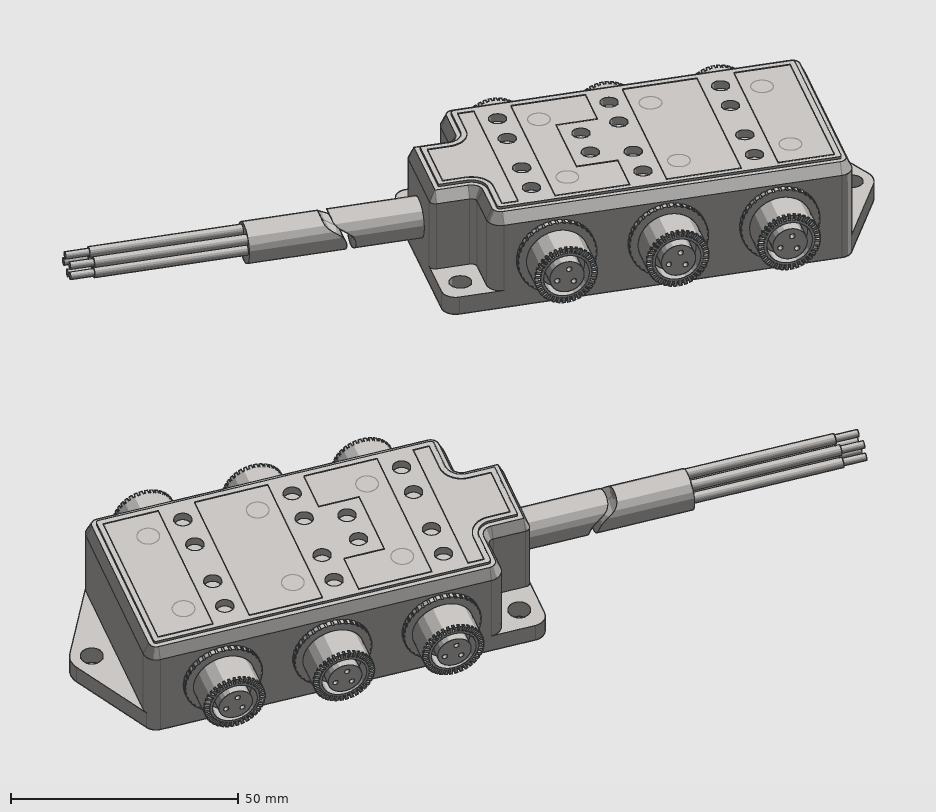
import cadquery as cq
import math

half_width = 22.4
body_length = 93.3
body_height = 25.0
neck_half_width = 10.2
notch_depth = 10.2
ear_height = 4.5
front_corner_radius = 3.2
rear_corner_radius = 3.0
least_radius = 0.05
neck_radius = 1.35

wall_height = 21.6
bevel_inset = 1.3
ledge_height = 24.4
plate_inset = 2.4
label_inset = 3.7
label_depth = 0.2

mount_hole_diameter = 5.0
front_hole_x = 16.6
front_hole_y = 5.0
rear_hole_y = 98.6
rear_ear_radius = 4.9

port_pitch = 25.4
first_port_y = 25.2
port_rows = 3
port_height = 12.0
first_strip_y = 21.8
strip_width = 8.4
lamp_diameter = 4.0
lamp_depth = 2.0
lamp_xs = (-14.3, -6.1, 6.1, 14.3)
power_lamp_x = 3.95
power_lamp_y = 38.0
power_strip_half_width = 8.6
power_strip_front_y = 33.6
dome_x = 12.0
dome_offset = 8.8
dome_diameter = 5.0
dome_rise = 0.18

flange_radius = 9.0
flange_reach = 23.7
sleeve_radius = 7.05
sleeve_reach = 31.3
insert_reach = 31.75
insert_radius = 3.9
socket_radius = 5.2
socket_depth = 4.0
knurl_count = 36
knurl_width = 0.5
knurl_depth = 0.8
knurl_inner_radius = 5.8
grip_depth = 0.2
pin_hole_radius = 0.6
pin_hole_depth = 4.0
pin_positions = ((-0.5, 1.9), (2.2, -0.7), (-1.6, -1.4))

cable_radius = 4.7
cable_height = 12.0
jacket_end_y = -39.8
insulation_end_y = -74.7
overall_length = 183.6
conductor_end_y = rear_hole_y + rear_ear_radius - overall_length
break_points = (
    (-20.6, cable_radius),
    (-20.0, 3.4),
    (-17.4, 1.4),
    (-16.0, 0.0),
    (-15.4, -2.0),
    (-15.5, -cable_radius),
)
break_gap = 2.1
insulation_radius = 1.2
conductor_radius = 0.85
wire_root = 1.0
wire_positions = ((-1.55, 2.5), (2.4, 2.3), (-2.95, 0.0), (0.3, -0.95), (2.6, -0.25))


def rounded_outline(corners, height):
    """Closed outline through (x, y, radius) corners, each rounded by an arc."""
    stretches = []
    for i, (x, y, radius) in enumerate(corners):
        before = cq.Vector(*corners[i - 1][:2])
        after = cq.Vector(*corners[(i + 1) % len(corners)][:2])
        corner = cq.Vector(x, y)
        to_before = (before - corner).normalized()
        to_after = (after - corner).normalized()
        half_angle = to_before.getAngle(to_after) / 2
        bisector = (to_before + to_after).normalized()
        setback = radius / math.tan(half_angle)
        middle = corner + bisector * (radius / math.sin(half_angle) - radius)
        stretches.append((corner + to_before * setback, middle, corner + to_after * setback))
    outline = cq.Workplane("XY").workplane(offset=height).moveTo(*stretches[0][0].toTuple()[:2])
    for i, (start, middle, end) in enumerate(stretches):
        if i > 0:
            outline = outline.lineTo(start.x, start.y)
        outline = outline.threePointArc((middle.x, middle.y), (end.x, end.y))
    return outline.close()


def block_outline(inset, height):
    """Plan of the block with its two front notches, moved inwards by inset."""
    outer_x = half_width - inset
    neck_x = neck_half_width - inset
    shoulder_y = notch_depth + inset
    neck_corner = max(neck_radius - inset, least_radius)
    front_corner = max(front_corner_radius - inset, least_radius)
    rear_corner = max(rear_corner_radius - inset, least_radius)
    right_side = [
        (neck_x, inset, neck_corner),
        (neck_x, shoulder_y, neck_radius + inset),
        (outer_x, shoulder_y, front_corner),
        (outer_x, body_length - inset, rear_corner),
    ]
    left_side = [(-x, y, radius) for x, y, radius in reversed(right_side)]
    return rounded_outline(right_side + left_side, height)


def lofted(lower, upper):
    """Solid between two outlines with matching edges."""
    return cq.Workplane(cq.Solid.makeLoft([lower.val(), upper.val()], True))


def block():
    walls = block_outline(0, 0).extrude(wall_height)
    slope = lofted(block_outline(0, wall_height), block_outline(bevel_inset, ledge_height))
    plate = block_outline(plate_inset, ledge_height).extrude(body_height - ledge_height)
    return walls.union(slope).union(plate)


def front_ears():
    """Low base that fills both notches out to square, rounded corners."""
    depth = 2 * notch_depth
    base = cq.Workplane("XY").box(2 * half_width, depth, ear_height, centered=(True, False, False))
    return base.faces("<Y").edges("|Z").fillet(front_corner_radius)


def rear_ear():
    """Triangular ear: straight sides tangent to the tip and to the block's rear corners."""
    corner_x = half_width - rear_corner_radius
    corner_y = body_length - rear_corner_radius
    rise = corner_y - rear_hole_y
    span = math.hypot(corner_x, rise)
    tilt = math.atan2(rise, corner_x) + math.acos((rear_ear_radius - rear_corner_radius) / span)
    normal_x = math.cos(tilt)
    normal_y = math.sin(tilt)
    tip_side = (rear_ear_radius * normal_x, rear_hole_y + rear_ear_radius * normal_y)
    corner_side = (corner_x + rear_corner_radius * normal_x, corner_y + rear_corner_radius * normal_y)
    return (
        cq.Workplane("XY")
        .moveTo(-corner_x, corner_y)
        .lineTo(-corner_side[0], corner_side[1])
        .lineTo(-tip_side[0], tip_side[1])
        .threePointArc((0, rear_hole_y + rear_ear_radius), tip_side)
        .lineTo(*corner_side)
        .lineTo(corner_x, corner_y)
        .close()
        .extrude(ear_height)
    )


def mounting_holes():
    centres = [(-front_hole_x, front_hole_y), (front_hole_x, front_hole_y), (0, rear_hole_y)]
    return cq.Workplane("XY").pushPoints(centres).circle(mount_hole_diameter / 2).extrude(ear_height)


def label_recesses():
    """Shallow label areas over the top plate, parted by the lamp strips."""
    floor = body_height - label_depth
    labels = block_outline(label_inset, floor).extrude(label_depth)
    strip_centres = [(0, first_strip_y + row * port_pitch) for row in range(port_rows)]
    strips = (
        cq.Workplane("XY")
        .workplane(offset=floor)
        .pushPoints(strip_centres)
        .rect(2 * half_width, strip_width)
        .extrude(label_depth)
    )
    power_strip_back_y = first_strip_y + port_pitch
    power_strip = cq.Workplane("XY", origin=(0, power_strip_front_y, floor)).box(
        2 * power_strip_half_width,
        power_strip_back_y - power_strip_front_y,
        label_depth,
        centered=(True, False, False),
    )
    return labels.cut(strips).cut(power_strip)


def lamp_holes():
    centres = [(-power_lamp_x, power_lamp_y), (power_lamp_x, power_lamp_y)]
    for row in range(port_rows):
        centres += [(x, first_strip_y + row * port_pitch) for x in lamp_xs]
    return (
        cq.Workplane("XY")
        .workplane(offset=body_height - lamp_depth)
        .pushPoints(centres)
        .circle(lamp_diameter / 2)
        .extrude(lamp_depth)
    )


def status_domes():
    """Low spherical caps standing on the label floor."""
    radius = dome_diameter / 2
    sphere_radius = (radius**2 + dome_rise**2) / (2 * dome_rise)
    half_angle = math.asin(radius / sphere_radius) / 2
    sphere_centre = dome_rise - sphere_radius
    arc_middle = (
        sphere_radius * math.sin(half_angle),
        sphere_centre + sphere_radius * math.cos(half_angle),
    )
    floor = body_height - label_depth
    cap = (
        cq.Workplane("XZ")
        .moveTo(0, -label_depth)
        .lineTo(radius, -label_depth)
        .lineTo(radius, 0)
        .threePointArc(arc_middle, (0, dome_rise))
        .close()
        .revolve(360, (0, 0, 0), (0, 1, 0))
    )
    domes = cq.Workplane("XY")
    for row in range(port_rows):
        y = first_strip_y + dome_offset + row * port_pitch
        for x in (-dome_x, dome_x):
            domes = domes.add(cap.translate((x, y, floor)))
    return domes.combine()


def port_connector():
    """Connector facing -X, its axis along X through the origin."""

    def disc(radius, start, length):
        return cq.Workplane("YZ").workplane(offset=-start).circle(radius).extrude(length)

    connector = disc(flange_radius, flange_reach, flange_reach - half_width)
    connector = connector.union(disc(sleeve_radius, sleeve_reach, sleeve_reach - half_width))
    connector = connector.cut(disc(socket_radius, sleeve_reach, socket_depth))
    connector = connector.union(disc(insert_radius, insert_reach, insert_reach - half_width))

    groove_length = flange_radius - knurl_inner_radius
    end_grooves = (
        cq.Workplane("YZ")
        .workplane(offset=-sleeve_reach)
        .polarArray(knurl_inner_radius + groove_length / 2, 0, 360, knurl_count)
        .rect(groove_length, knurl_width)
        .extrude(knurl_depth)
    )
    grip_grooves = (
        cq.Workplane("YZ")
        .workplane(offset=-flange_reach)
        .polarArray(flange_radius, 0, 360, knurl_count)
        .rect(2 * grip_depth, knurl_width)
        .extrude(flange_reach - half_width)
    )
    pin_holes = (
        cq.Workplane("YZ")
        .workplane(offset=-insert_reach)
        .pushPoints(pin_positions)
        .circle(pin_hole_radius)
        .extrude(pin_hole_depth)
    )
    return connector.cut(end_grooves).cut(grip_grooves).cut(pin_holes)


def cable_length(near_y, far_y):
    """Plain round cable between two stations along Y."""
    return (
        cq.Workplane("XZ", origin=(0, near_y, cable_height))
        .circle(cable_radius)
        .extrude(near_y - far_y)
    )


def beyond_break(shift):
    """Everything past the S-shaped break, which is moved along the cable by shift."""
    curve = [(y - shift, cable_height + z) for y, z in break_points]
    return (
        cq.Workplane("YZ")
        .moveTo(*curve[0])
        .spline(curve[1:], includeCurrent=True)
        .lineTo(jacket_end_y, curve[-1][1])
        .lineTo(jacket_end_y, curve[0][1])
        .close()
        .extrude(cable_radius, both=True)
    )


def wires():
    """Insulated wires with bare conductor ends, as a list."""
    bundle = []
    start_y = jacket_end_y + wire_root
    for x, z in wire_positions:
        plane = cq.Workplane("XZ", origin=(x, start_y, cable_height + z))
        insulation = plane.circle(insulation_radius).extrude(start_y - insulation_end_y)
        conductor = plane.circle(conductor_radius).extrude(start_y - conductor_end_y)
        bundle.append(insulation.union(conductor))
    return bundle


def housing_body():
    body = block().union(front_ears()).union(rear_ear())
    body = body.cut(mounting_holes()).cut(label_recesses()).cut(lamp_holes()).union(status_domes())
    left_connector = port_connector()
    right_connector = left_connector.rotate((0, 0, 0), (0, 0, 1), 180)
    for row in range(port_rows):
        place = (0, first_port_y + row * port_pitch, port_height)
        body = body.union(left_connector.translate(place), clean=False)
        body = body.union(right_connector.translate(place), clean=False)
    stub = cable_length(0, jacket_end_y).cut(beyond_break(0))
    return body.union(stub)


def cable_end_body():
    cable = cable_length(0, jacket_end_y).intersect(beyond_break(break_gap))
    for wire in wires():
        cable = cable.union(wire)
    return cable


housing = housing_body()
cable_end = cable_end_body()
result = cq.Compound.makeCompound([housing.val(), cable_end.val()])